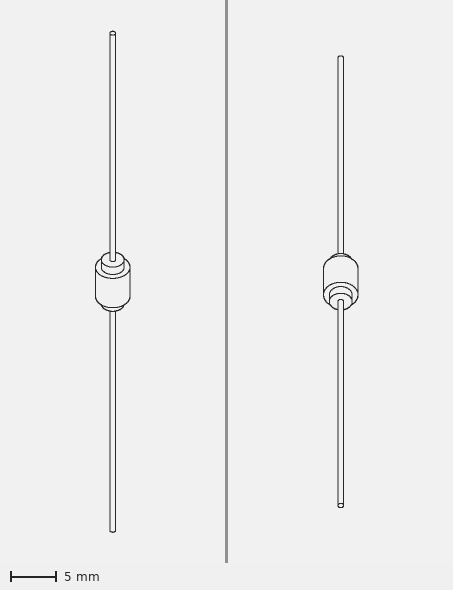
import cadquery as cq

overall_length = 71.4
lead_diameter = 0.65
body_diameter = 3.8
body_length = 4.2
collar_diameter = 2.5
collar_length = 1.1


def centred_cylinder(diameter, length):
    """Cylinder along Z, centred on the origin."""
    return cq.Workplane("XY").cylinder(length, diameter / 2)


lead = centred_cylinder(lead_diameter, overall_length)
collars = centred_cylinder(collar_diameter, body_length + 2 * collar_length)
body = centred_cylinder(body_diameter, body_length)

result = body.union(collars).union(lead)